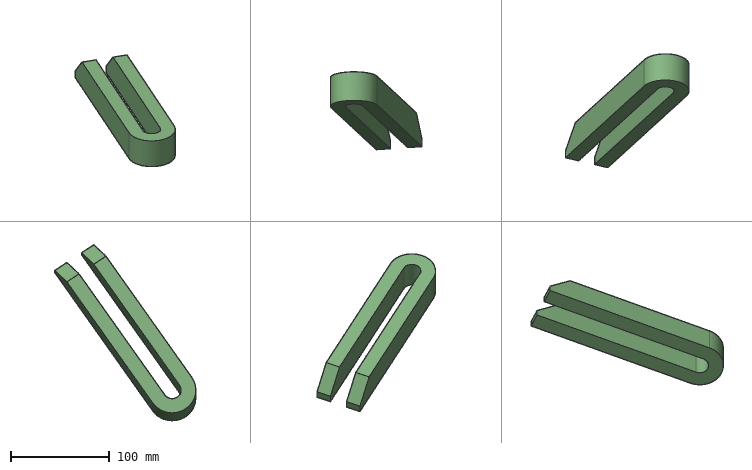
import cadquery as cq

length = 200.0
width = 48.0
height = 30.0
slot_width = 18.0
nose_height = 8.0

outer_radius = width / 2
slot_radius = slot_width / 2
bend_x = length - outer_radius
bevel = height - nose_height


def round_ended_bar(radius):
    """Bar along +X from the open end, finished by a half-round end at the bend."""
    return (
        cq.Workplane("XY")
        .moveTo(0, -radius)
        .lineTo(bend_x, -radius)
        .threePointArc((bend_x + radius, 0), (bend_x, radius))
        .lineTo(0, radius)
        .close()
        .extrude(height)
    )


body = round_ended_bar(outer_radius).cut(round_ended_bar(slot_radius))

result = body.faces("<X").edges(">Z").chamfer(bevel)